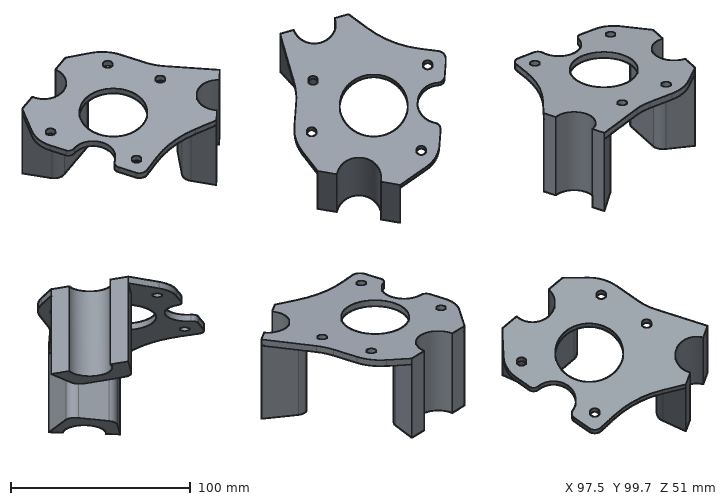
import cadquery as cq
import math

total_height = 51.0
plate_thickness = 4.0
bore_diameter = 37.9

screw_hole_diameter = 5.5
screw_holes = [(-22.1, 31.0), (-22.1, -31.0), (8.9, 36.0), (29.9, -24.9)]

left_face_x = -45.1
left_face_half_width = 23.4
slant_face_top = (33.6, 59.2)
slant_face_bottom = (52.4, 24.0)

left_notch_radius = 12.5
slant_notch_radius = 12.0
lower_notch_radius = 12.5
lower_notch_center = (8.3, -35.9)
notch_lip_radius = 3.8

left_leg_depth = 20.4
left_leg_taper = 18.0
left_leg_round = 6.5

slant_leg_upper_corner = (17.4, 39.3)
slant_leg_lower_corner = (34.1, 18.3)
slant_leg_upper_round = 6.0
slant_leg_lower_round = 6.5

left_face_top = (left_face_x, left_face_half_width)
left_face_bottom = (left_face_x, -left_face_half_width)
slant_face_middle = (
    (slant_face_top[0] + slant_face_bottom[0]) / 2,
    (slant_face_top[1] + slant_face_bottom[1]) / 2,
)


def step_toward(start, target, distance):
    """Point at a distance from start on the way to target."""
    ratio = distance / math.dist(start, target)
    return tuple(a + (b - a) * ratio for a, b in zip(start, target))


def rounded_prism(corners, height):
    """Extrude a polygon of (point, rounding radius) corners; radius 0 stays sharp."""
    points = [point for point, _ in corners]
    outline = cq.Workplane("XY").moveTo(*points[0])
    for i in range(1, len(corners)):
        corner, radius = corners[i]
        before = points[i - 1]
        after = points[(i + 1) % len(points)]
        if radius == 0:
            outline = outline.lineTo(*corner)
            continue
        angle_in = math.atan2(before[1] - corner[1], before[0] - corner[0])
        angle_out = math.atan2(after[1] - corner[1], after[0] - corner[0])
        half_angle = math.acos(math.cos(angle_out - angle_in)) / 2
        tangent_length = radius / math.tan(half_angle)
        arc_start = step_toward(corner, before, tangent_length)
        arc_end = step_toward(corner, after, tangent_length)
        chord_middle = tuple((a + b) / 2 for a, b in zip(arc_start, arc_end))
        arc_middle = step_toward(corner, chord_middle, radius / math.sin(half_angle) - radius)
        outline = outline.lineTo(*arc_start).threePointArc(arc_middle, arc_end)
    return outline.close().extrude(height)


def cylinder(center, radius):
    """Full-height cutting cylinder."""
    return cq.Workplane("XY").center(*center).circle(radius).extrude(total_height)


def make_plate():
    plate = rounded_prism(
        [
            (left_face_top, 0),
            (left_face_bottom, 0),
            ((-25.3, -41.3), 18.0),
            ((39.6, -33.8), 5.0),
            ((38.1, -2.3), 58.8),
            (slant_face_bottom, 0),
            (slant_face_top, 0),
            ((0.5, 43.6), 31.9),
            ((-28.8, 40.2), 24.9),
        ],
        plate_thickness,
    ).translate((0, 0, total_height - plate_thickness))
    plate = plate.cut(cylinder(lower_notch_center, lower_notch_radius))
    lip_reach = 1.2 * lower_notch_radius
    notch_x, notch_y = lower_notch_center
    lip_zone = cq.selectors.BoxSelector(
        (notch_x - lip_reach, notch_y - lip_reach, 0),
        (notch_x + lip_reach, notch_y + lip_reach, total_height),
    )
    plate = plate.edges("|Z").edges(lip_zone).fillet(notch_lip_radius)
    plate = plate.cut(cylinder((0, 0), bore_diameter / 2))
    for center in screw_holes:
        plate = plate.cut(cylinder(center, screw_hole_diameter / 2))
    return plate


def make_left_leg():
    flank_rise = left_leg_depth * math.tan(math.radians(left_leg_taper))
    inner_x = left_face_x + left_leg_depth
    inner_half_width = left_face_half_width - flank_rise
    return rounded_prism(
        [
            (left_face_top, 0),
            (left_face_bottom, 0),
            ((inner_x, -inner_half_width), left_leg_round),
            ((inner_x, inner_half_width), left_leg_round),
        ],
        total_height - plate_thickness,
    )


def make_slant_leg():
    return rounded_prism(
        [
            (slant_face_bottom, 0),
            (slant_face_top, 0),
            (slant_leg_upper_corner, slant_leg_upper_round),
            (slant_leg_lower_corner, slant_leg_lower_round),
        ],
        total_height - plate_thickness,
    )


result = make_plate().union(make_left_leg()).union(make_slant_leg())

result = result.cut(cylinder((left_face_x, 0), left_notch_radius))
result = result.cut(cylinder(slant_face_middle, slant_notch_radius))